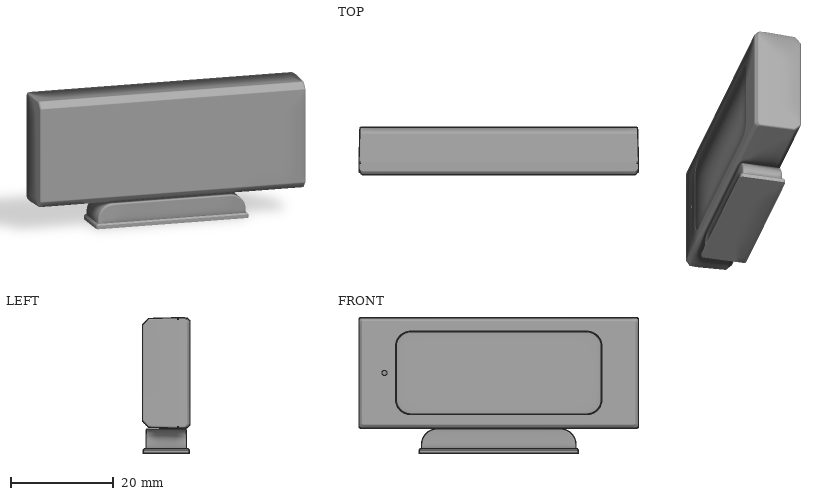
import cadquery as cq

overall_height = 26.5

housing_width = 54.6
housing_depth = 9.3
housing_bottom = 4.9
housing_height = overall_height - housing_bottom
housing_mid_z = housing_bottom + housing_height / 2
front_y = -housing_depth / 2
back_y = housing_depth / 2

band_depth = 0.2
front_shell_depth = 2.25
band_front_y = front_y + front_shell_depth
band_back_y = band_front_y + band_depth
draft_angle = 1.6
edge_radius = 0.35
rear_chamfer = 1.2

bevel_depth = 0.65
bevel_angle = 45.0
bevel_corner_radius = 0.95
front_edge_radius = 0.2

screen_width = 40.3
screen_height = 16.3
screen_corner_radius = 3.0
screen_depth = 0.15
screen_wall_angle = 45.0
indicator_diameter = 1.0
indicator_depth = 0.15
indicator_x = -22.3

plate_width = 31.1
plate_depth = 9.0
plate_height = 1.0
plate_corner_radius = 0.5
plate_top_chamfer = 0.3
housing_clearance = 0.1
stand_top = housing_bottom - housing_clearance
arch_width = 30.2
arch_depth = 8.0
arch_height = stand_top - plate_height
arch_draft = 1.0
arch_radius = 3.1
arch_edge_radius = 0.35


def plane_facing_front(y):
    """Workplane at the given Y, normal to -Y, centred on the housing."""
    return cq.Workplane(cq.Plane(origin=(0, y, housing_mid_z), xDir=(1, 0, 0), normal=(0, -1, 0)))


def plane_facing_back(y):
    """Workplane at the given Y, normal to +Y, centred on the housing; its local X runs along -X."""
    return cq.Workplane(cq.Plane(origin=(0, y, housing_mid_z), xDir=(-1, 0, 0), normal=(0, 1, 0)))


def rounded_frustum(workplane, width, height, corner_radius, depth, wall_angle):
    """Rounded rectangle extruded with walls that lean inward."""
    outline = workplane.sketch().rect(width, height).vertices().fillet(corner_radius).finalize()
    return outline.extrude(depth, taper=wall_angle)


def make_front_shell():
    shell = plane_facing_front(band_front_y).rect(housing_width, housing_height)
    shell = shell.extrude(front_shell_depth, taper=draft_angle)
    shell = shell.edges("not(|X or |Z)").fillet(edge_radius)

    spread = front_shell_depth - bevel_depth
    bevel = rounded_frustum(
        plane_facing_front(band_front_y),
        housing_width + 2 * spread,
        housing_height + 2 * spread,
        bevel_corner_radius + spread,
        front_shell_depth,
        bevel_angle,
    )
    shell = shell.intersect(bevel)
    shell = shell.faces("<Y").edges().fillet(front_edge_radius)

    half_reach = housing_width
    bevel_edge_zone = cq.selectors.BoxSelector(
        (-half_reach, front_y + bevel_depth - front_edge_radius, -half_reach),
        (half_reach, front_y + bevel_depth + edge_radius, half_reach),
    )
    return shell.edges(bevel_edge_zone).fillet(front_edge_radius)


def make_rear_shell():
    shell = plane_facing_back(band_back_y).rect(housing_width, housing_height)
    shell = shell.extrude(back_y - band_back_y, taper=draft_angle)
    shell = shell.faces(">Y").edges("|X").chamfer(rear_chamfer)
    return shell.edges("not <Y").fillet(edge_radius)


def make_band():
    band = plane_facing_back(band_front_y).rect(housing_width, housing_height).extrude(band_depth)
    return band.edges("|Y").fillet(edge_radius)


def make_screen_recess():
    return rounded_frustum(
        plane_facing_back(front_y),
        screen_width,
        screen_height,
        screen_corner_radius,
        screen_depth,
        screen_wall_angle,
    )


def make_indicator_hole():
    hole = plane_facing_back(front_y).center(-indicator_x, 0)
    return hole.circle(indicator_diameter / 2).extrude(indicator_depth)


def make_housing():
    shell = make_rear_shell().union(make_band()).union(make_front_shell())
    return shell.cut(make_screen_recess()).cut(make_indicator_hole())


def make_stand():
    plate = cq.Workplane("XY").rect(plate_width, plate_depth).extrude(plate_height)
    plate = plate.edges("|Z").fillet(plate_corner_radius)
    plate = plate.faces(">Z").chamfer(plate_top_chamfer)

    arch = cq.Workplane("XY").workplane(offset=plate_height).rect(arch_width, arch_depth)
    arch = arch.extrude(arch_height, taper=arch_draft)
    arch = arch.faces(">Z").edges("|Y").fillet(arch_radius)
    arch = arch.edges("not(<Z or |Y)").fillet(arch_edge_radius)
    return plate.union(arch)


housing = make_housing()
stand = make_stand()

result = cq.Compound.makeCompound([housing.solids().val(), stand.solids().val()])